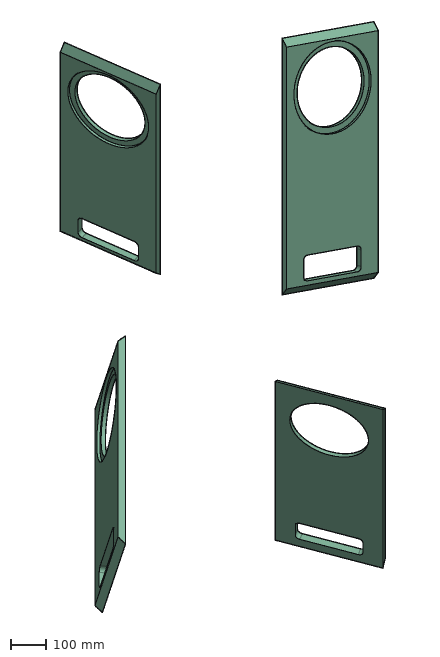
import cadquery as cq

width = 322.0
thickness = 22.0
height = 752.0
front_y = -thickness / 2
back_y = thickness / 2

opening_diameter = 235.0
seat_diameter = 271.0
seat_depth = 9.0
opening_z = 211.0

slot_width = 201.5
slot_height = 75.0
slot_corner_radius = 13.5
slot_z = -304.0


def mitred_panel():
    """Plate whose top and bottom ends are cut at 45 degrees, longest at the back."""
    back_z = height / 2
    front_z = back_z - thickness
    profile = [(back_y, -back_z), (back_y, back_z), (front_y, front_z), (front_y, -front_z)]
    return cq.Workplane("YZ").polyline(profile).close().extrude(width / 2, both=True)


def round_cut(diameter, depth):
    """Cylinder running back from the front face at the round opening."""
    front_plane = cq.Workplane("XZ", origin=(0, front_y, opening_z))
    return front_plane.circle(diameter / 2).extrude(-depth)


def slot_cut():
    """Block with rounded corners passing through the full thickness."""
    block = cq.Workplane("XY").box(slot_width, thickness, slot_height)
    return block.edges("|Y").fillet(slot_corner_radius).translate((0, 0, slot_z))


result = (
    mitred_panel()
    .cut(round_cut(opening_diameter, thickness))
    .cut(round_cut(seat_diameter, seat_depth))
    .cut(slot_cut())
)